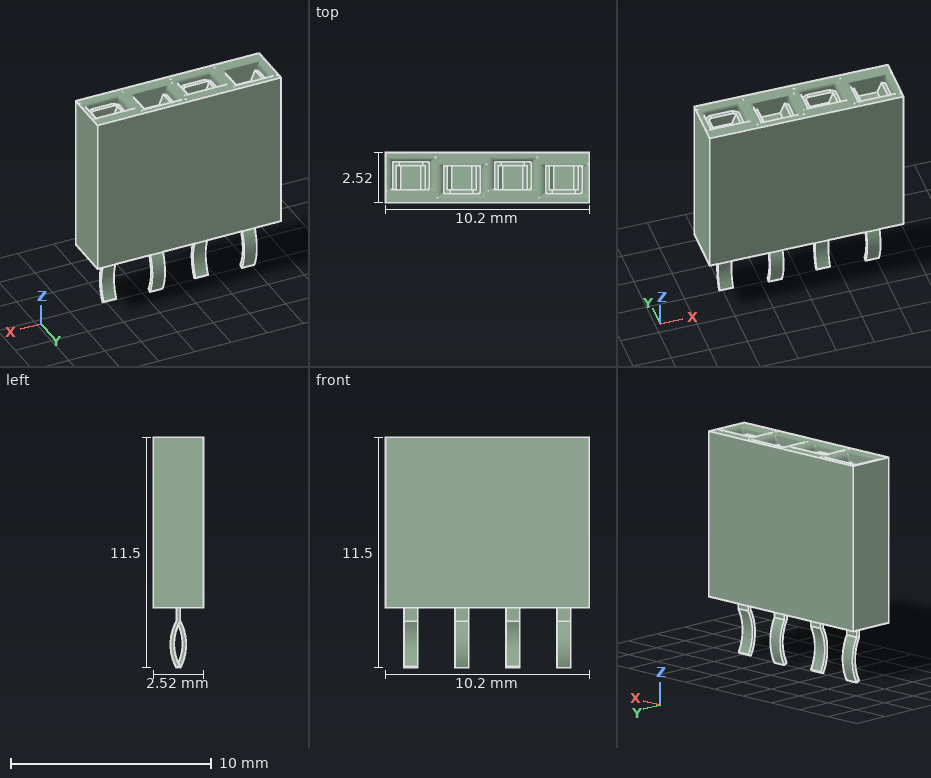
import cadquery as cq
import math

contact_count = 4
pitch = 2.54
housing_length = contact_count * pitch
housing_thickness = 2.52
housing_height = 8.5

throat_half_width = 0.91
throat_wide_reach = 0.80
throat_narrow_reach = 0.60
side_round = 0.32
wide_round = 0.21
narrow_round = 0.06
throat_corner_radius = 0.10
cut_clearance = 0.10

ledge_depth = 0.41
ledge_flat_half_width = 0.58
ledge_end_drop = 0.16

lead_in_top_half_width = 0.72
lead_in_floor_half_width = 0.495
lead_in_ledge_depth = 0.48
lead_in_floor_depth = 1.06
lead_in_half_depth_y = 0.60

tail_width = 0.70
tail_thickness = 0.20
tail_length = 3.0
tail_straight_length = 0.66
tail_bow_reach = 0.40
tail_embed = 0.5


def slot_profile(plane, low, high, low_round, high_round, floor_points):
    """Closed slot section that flares through quarter rounds at the housing top."""
    top = housing_height
    lip = top + cut_clearance
    diagonal = 1 - math.sqrt(0.5)
    return (
        cq.Workplane(plane)
        .moveTo(low - low_round, lip)
        .lineTo(low - low_round, top)
        .threePointArc(
            (low - low_round * diagonal, top - low_round * diagonal),
            (low, top - low_round),
        )
        .polyline(floor_points, includeCurrent=True)
        .lineTo(high, top - high_round)
        .threePointArc(
            (high + high_round * diagonal, top - high_round * diagonal),
            (high + high_round, top),
        )
        .lineTo(high + high_round, lip)
        .close()
    )


def mouth_cutter():
    """Throat, rounded mouth and ledge, centred on X = 0 with the wide side toward +Y."""
    ledge_z = housing_height - ledge_depth
    ledge_end_z = ledge_z - ledge_end_drop
    across = slot_profile(
        "XZ", -throat_half_width, throat_half_width, side_round, side_round,
        [
            (-throat_half_width, ledge_end_z),
            (-ledge_flat_half_width, ledge_z),
            (ledge_flat_half_width, ledge_z),
            (throat_half_width, ledge_end_z),
        ],
    ).extrude(housing_thickness, both=True)
    through = slot_profile(
        "YZ", -throat_narrow_reach, throat_wide_reach, narrow_round, wide_round,
        [(-throat_narrow_reach, ledge_end_z), (throat_wide_reach, ledge_end_z)],
    ).extrude(pitch, both=True)
    throat_corners = cq.selectors.BoxSelector(
        (-pitch, -pitch, housing_height - ledge_depth - ledge_end_drop),
        (pitch, pitch, housing_height - side_round),
    )
    blank = across.intersect(through)
    return blank.edges("|Z").edges(throat_corners).fillet(throat_corner_radius)


def lead_in_cutter():
    """Tapered pocket with a flat floor, centred on X = 0."""
    taper_run = lead_in_top_half_width - lead_in_floor_half_width
    taper = taper_run / (lead_in_floor_depth - lead_in_ledge_depth)
    start_half_width = lead_in_top_half_width + taper * (lead_in_ledge_depth - ledge_depth)
    start_z = housing_height - ledge_depth
    floor_z = housing_height - lead_in_floor_depth
    return (
        cq.Workplane("XZ")
        .polyline([
            (-start_half_width, start_z),
            (-lead_in_floor_half_width, floor_z),
            (lead_in_floor_half_width, floor_z),
            (start_half_width, start_z),
        ])
        .close()
        .extrude(lead_in_half_depth_y, both=True)
    )


def tail():
    """Sheet-metal tail: a straight root and a concentric-arc bow toward +Y."""
    half = tail_thickness / 2
    bow_height = tail_length - tail_straight_length
    bow_rise = tail_bow_reach - half
    outer_radius = ((bow_height / 2) ** 2 + bow_rise ** 2) / (2 * bow_rise)
    inner_radius = outer_radius - tail_thickness
    centre_y = tail_bow_reach - outer_radius
    centre_z = -tail_straight_length - bow_height / 2
    radius_ratio = inner_radius / outer_radius
    inner_end = (
        centre_y + (half - centre_y) * radius_ratio,
        centre_z - bow_height / 2 * radius_ratio,
    )
    return (
        cq.Workplane("YZ")
        .moveTo(half, tail_embed)
        .lineTo(half, -tail_straight_length)
        .threePointArc((tail_bow_reach, centre_z), (half, -tail_length))
        .lineTo(*inner_end)
        .threePointArc((tail_bow_reach - tail_thickness, centre_z), (-half, -tail_straight_length))
        .lineTo(-half, tail_embed)
        .close()
        .extrude(tail_width / 2, both=True)
    )


result = cq.Workplane("XY").box(
    housing_length, housing_thickness, housing_height, centered=(True, True, False)
)
socket = mouth_cutter().union(lead_in_cutter())
contact_tail = tail()

for index in range(contact_count):
    x = (index - (contact_count - 1) / 2) * pitch
    turn = 180 * (index % 2)
    placement = cq.Location(cq.Vector(x, 0, 0), cq.Vector(0, 0, 1), turn)
    result = result.cut(cq.Workplane(socket.val().moved(placement)))
    result = result.union(cq.Workplane(contact_tail.val().moved(placement)))